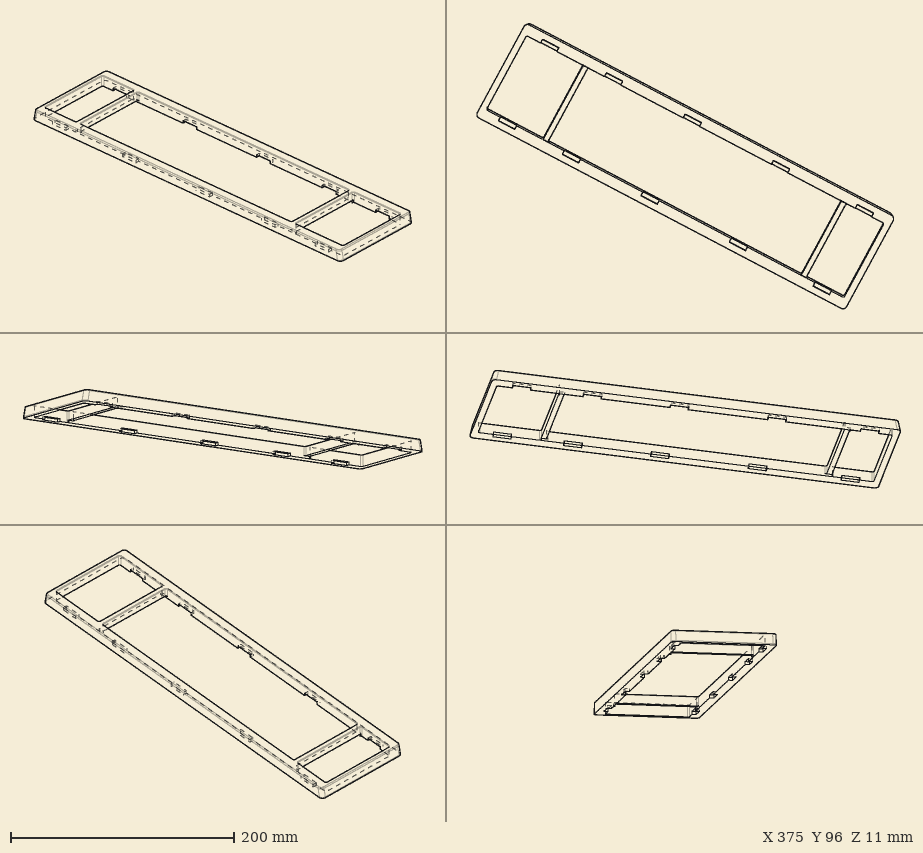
import cadquery as cq

length = 375.0
width = 96.0
height = 11.0
end_taper = 2.0
skirt_height = 1.0
corner_radius = 3.7
top_rim_radius = 1.0
window_rim_radius = 0.55

window_spans = [(-181.5, -143.2), (-138.5, 119.0), (123.7, 181.5)]
window_width = 76.5
window_corner_radius = 1.5

divider_lift = 2.2

notch_centers = [-160.5, -75.5, 14.2, 94.0, 159.0]
notch_length = 16.5
notch_height = 2.5
notch_depth = 3.7


def frame_blank():
    """Solid bar with leaning ends, rounded corners and a rounded top rim."""
    half = length / 2
    half_top = half - end_taper
    side = [
        (-half, 0),
        (half, 0),
        (half, skirt_height),
        (half_top, height),
        (-half_top, height),
        (-half, skirt_height),
    ]
    bar = cq.Workplane("XZ").polyline(side).close().extrude(width / 2, both=True)
    end_corners = bar.faces("<Y or >Y").edges("not |X")
    bar = end_corners.fillet(corner_radius)
    return bar.faces(">Z").edges().fillet(top_rim_radius)


def window(left, right):
    """Cutter for one window with rounded upright corners."""
    block = cq.Workplane("XY").box(right - left, window_width, height, centered=(False, True, False))
    return block.edges("|Z").fillet(window_corner_radius).translate((left, 0, 0))


def divider_clearance():
    """Cutter that lifts the undersides of both dividers."""
    left = window_spans[0][1]
    right = window_spans[-1][0]
    slab = cq.Workplane("XY").box(right - left, window_width, divider_lift, centered=(False, True, False))
    return slab.translate((left, 0, 0))


def rail_notches():
    """Cutter for the recesses, reaching past the windows into both rails."""
    points = [(x, 0) for x in notch_centers]
    span = window_width + 2 * notch_depth
    stations = cq.Workplane("XY").pushPoints(points)
    return stations.box(notch_length, span, notch_height, centered=(True, True, False))


def round_window_rims(frame):
    """Soften the top edge of every window, leaving the outer rim as it is."""
    inner_wires = frame.faces(">Z").val().innerWires()
    rim_edges = [edge for wire in inner_wires for edge in wire.Edges()]
    return frame.newObject(rim_edges).fillet(window_rim_radius)


result = frame_blank()
for left_edge, right_edge in window_spans:
    result = result.cut(window(left_edge, right_edge))
result = round_window_rims(result)
result = result.cut(divider_clearance())
result = result.cut(rail_notches()).solids()